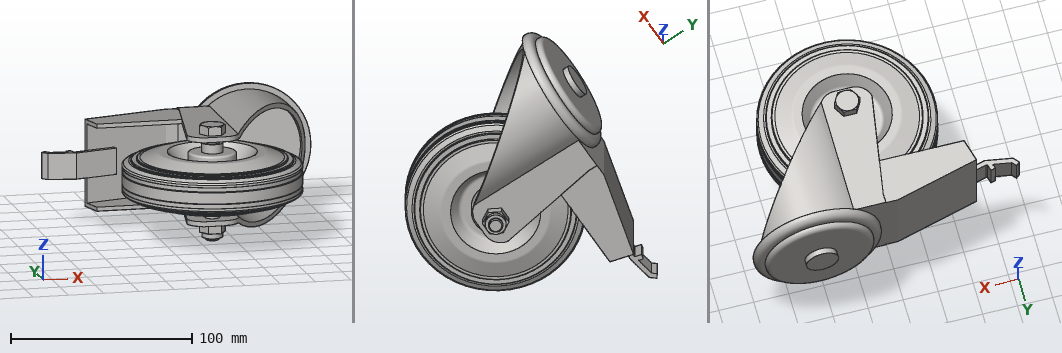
import cadquery as cq
import math


overall_length = 156.5
overall_height = 128.0

wheel_radius = 100.0 / 2
groove_radius = 99.4 / 2
face_half_width = 14.9
bowl_floor_z = 7.0
hub_radius = 13.5
hub_top_z = 14.9
hub_round = 1.3
bowl_floor_radius = 18.2
bowl_corner = (20.5, 8.3)
bowl_mouth_radius = 24.9
rim_flat_radius = 29.6
rim_round_end = (30.7, 14.7)
disc_edge_radius = 39.9
upper_shoulder_radius = 42.0
upper_shoulder_z = 11.6
middle_shoulder_radius = 45.0
middle_shoulder_z = 10.6
lower_shoulder_radius = 46.2
lower_shoulder_z = 9.7
shoulder_chamfer = 0.5
tyre_cone_end = (49.1, 8.3)
crown_edge_z = 7.4
band_outer_z = 6.0
band_inner_z = 3.6
middle_crown_z = 3.1

shaft_radius = 8.0 / 2
sleeve_radius = 12.0 / 2
sleeve_half_length = 20.0
hex_corner_diameter = 14.7
hex_chamfer_height = 0.6
head_height = 5.2
nut_height = 5.3
collar_radius = 11.6 / 2
collar_height = 2.8
tip_z = -35.0
tip_chamfer = 0.6

swivel_x = 35.0
bore_radius = 61 / 2
shell_radius = 33.2
plate_inner_z = 22.4
plate_outer_z = 25.2
plate_top_y = 64.2
foot_radius = 10.0
foot_centre_x = 4.9
rear_knee_y = 58.5

flange_radius = 73.0 / 2
flange_bottom_y = 65.9
flange_top_y = 71.0
flange_round = 4.0
cap_radius = 62.0 / 2
cap_top_y = 74.7
cap_round = 2.8
stud_radius = 18.3 / 2
stud_top_y = overall_height - wheel_radius

cover_outer_z = 24.7
sheet = 2.3
cover_slope = math.radians(15)
cover_knee_x = -11.7
cover_slope_length = 50.1
cover_bottom_y = 37.9

pedal_width = 14.9
pedal_thickness = 2.8
pedal_inner_length = 25.0
pedal_middle_length = 15.8
pedal_tip_x = swivel_x + flange_radius - overall_length
pedal_overhang = 8.1
middle_slope = math.radians(-9.5)
tip_slope = math.radians(-50)
tab_height = 4.2


def step(point, angle, distance):
    """The point at a distance from another one, in a direction."""
    return point[0] + distance * math.cos(angle), point[1] + distance * math.sin(angle)


def mitre(point, angle_before, angle_after, thickness):
    """Opposite corner of a strip that bends at a point, to the left of its run."""
    half_turn = (angle_after - angle_before) / 2
    normal = (angle_before + angle_after) / 2 + math.pi / 2
    return step(point, normal, thickness / math.cos(half_turn))


def slab(outline, half_width):
    """An XY outline extruded evenly to both sides of the middle plane."""
    return outline.extrude(half_width, both=True)


def cylinder_y(radius, y_from, y_to):
    """A cylinder on the swivel axis."""
    plane = cq.Workplane("XZ", origin=(swivel_x, y_from, 0))
    return plane.circle(radius).extrude(y_from - y_to)


def make_wheel():
    half_profile = (
        cq.Workplane("XZ")
        .moveTo(sleeve_radius, 0)
        .lineTo(sleeve_radius, hub_top_z)
        .lineTo(hub_radius - hub_round, hub_top_z)
        .tangentArcPoint((hub_radius, hub_top_z - hub_round), relative=False)
        .lineTo(hub_radius, bowl_floor_z)
        .lineTo(bowl_floor_radius, bowl_floor_z)
        .tangentArcPoint(bowl_corner, relative=False)
        .lineTo(bowl_mouth_radius, face_half_width)
        .lineTo(rim_flat_radius, face_half_width)
        .tangentArcPoint(rim_round_end, relative=False)
        .lineTo(disc_edge_radius, upper_shoulder_z)
        .lineTo(upper_shoulder_radius - shoulder_chamfer, upper_shoulder_z)
        .lineTo(upper_shoulder_radius, upper_shoulder_z - shoulder_chamfer)
        .lineTo(upper_shoulder_radius, middle_shoulder_z)
        .lineTo(middle_shoulder_radius - shoulder_chamfer, middle_shoulder_z)
        .lineTo(middle_shoulder_radius, middle_shoulder_z - shoulder_chamfer)
        .lineTo(middle_shoulder_radius, lower_shoulder_z)
        .lineTo(lower_shoulder_radius, lower_shoulder_z)
        .lineTo(*tyre_cone_end)
        .lineTo(wheel_radius, crown_edge_z)
        .lineTo(wheel_radius, band_outer_z)
        .lineTo(groove_radius, band_outer_z)
        .lineTo(groove_radius, band_inner_z)
        .lineTo(wheel_radius, middle_crown_z)
        .lineTo(wheel_radius, 0)
        .close()
    )
    half = half_profile.revolve(360, (0, 0, 0), (0, 1, 0))
    return half.union(half.rotate((0, 0, 0), (1, 0, 0), 180))


def make_axle():
    head_top_z = plate_outer_z + head_height
    nut_end_z = -plate_outer_z - nut_height
    collar_end_z = nut_end_z - collar_height

    def hexagon(z_from, height):
        return cq.Workplane(origin=(0, 0, z_from)).polygon(6, hex_corner_diameter).extrude(height)

    def rod(radius, z_from, z_to):
        return cq.Workplane(origin=(0, 0, z_from)).circle(radius).extrude(z_to - z_from)

    flat_radius = hex_corner_diameter / 2 * math.cos(math.pi / 6)
    corner_cone = rod(hex_corner_diameter / 2, plate_outer_z, head_top_z)
    corner_cone = corner_cone.faces(">Z").chamfer(hex_chamfer_height, hex_corner_diameter / 2 - flat_radius)
    head = hexagon(plate_outer_z, head_height).intersect(corner_cone)

    shaft = rod(shaft_radius, tip_z, head_top_z).faces("<Z").chamfer(tip_chamfer)
    sleeve = rod(sleeve_radius, -sleeve_half_length, sleeve_half_length)
    nut = hexagon(nut_end_z, nut_height)
    collar = rod(collar_radius, collar_end_z, nut_end_z)
    return shaft.union(sleeve).union(head).union(nut).union(collar)


def make_fork_shell():
    """Two side plates that run into a half-round shell, trimmed to the side outline."""
    rear_x = -foot_centre_x - foot_radius
    lowest_y = -foot_radius
    shell_join_x = swivel_x - math.sqrt(shell_radius**2 - plate_outer_z**2)
    bore_join_x = swivel_x - math.sqrt(bore_radius**2 - plate_inner_z**2)

    def block(x_to, half_z):
        """A block below the plate tops, from the rear of the plates to a given x."""
        outline = (
            cq.Workplane("XY").moveTo(rear_x, lowest_y).lineTo(x_to, lowest_y)
            .lineTo(x_to, plate_top_y).lineTo(rear_x, plate_top_y).close()
        )
        return slab(outline, half_z)

    inside = block(bore_join_x, plate_inner_z)
    shell = cylinder_y(shell_radius, lowest_y, flange_bottom_y)
    shell = shell.cut(cylinder_y(bore_radius, lowest_y, flange_bottom_y))
    shell = shell.cut(block(shell_join_x, shell_radius)).cut(inside)
    walls = shell.union(block(bore_join_x, plate_outer_z).cut(inside))

    front_x = swivel_x + shell_radius
    run = front_x - foot_centre_x
    front_angle = math.atan2(flange_bottom_y, run) + math.asin(foot_radius / math.hypot(run, flange_bottom_y))
    front_tangent = step((foot_centre_x, 0), front_angle - math.pi / 2, foot_radius)
    front_foot_middle = step((foot_centre_x, 0), (front_angle - math.pi) / 2, foot_radius)
    rear_angle = 1.5 * math.pi - math.acos(foot_radius / rear_knee_y)
    rear_tangent = step((-foot_centre_x, 0), rear_angle, foot_radius)
    rear_foot_middle = step((-foot_centre_x, 0), (rear_angle + 1.5 * math.pi) / 2, foot_radius)

    side_outline = (
        cq.Workplane("XY")
        .moveTo(-foot_centre_x, flange_bottom_y)
        .lineTo(front_x, flange_bottom_y)
        .lineTo(*front_tangent)
        .threePointArc(front_foot_middle, (foot_centre_x, -foot_radius))
        .lineTo(-foot_centre_x, -foot_radius)
        .threePointArc(rear_foot_middle, rear_tangent)
        .lineTo(-foot_centre_x, rear_knee_y)
        .close()
    )
    axle_hole = slab(cq.Workplane("XY").circle(shaft_radius), plate_outer_z)
    return walls.intersect(slab(side_outline, shell_radius)).cut(axle_hole)


def make_bridge():
    """Level top of the fork between its plates, from their rear edges to the bore."""
    bottom_y = plate_top_y - (plate_outer_z - plate_inner_z)
    outline = (
        cq.Workplane("XY").moveTo(-foot_centre_x, bottom_y).lineTo(swivel_x, bottom_y)
        .lineTo(swivel_x, plate_top_y).lineTo(-foot_centre_x, plate_top_y).close()
    )
    return slab(outline, plate_inner_z).cut(cylinder_y(bore_radius, bottom_y, plate_top_y))


def make_swivel_head():
    flange = cylinder_y(flange_radius, flange_bottom_y, flange_top_y).faces(">Y").edges().fillet(flange_round)
    cap = cylinder_y(cap_radius, flange_top_y, cap_top_y).faces(">Y").edges().fillet(cap_round)
    stud = cylinder_y(stud_radius, cap_top_y, stud_top_y)
    return flange.union(cap).union(stud)


cover_knee = (cover_knee_x, plate_top_y)
cover_end = step(cover_knee, cover_slope + math.pi, cover_slope_length)
square_down = cover_slope - math.pi / 2


def make_brake_cover():
    joint_x = 0

    def cover_outline(end, knee, bottom_y):
        """The cover from the side; its open end is square to the sloping web."""
        drop = (end[1] - bottom_y) / math.cos(cover_slope)
        return cq.Workplane("XY").polyline(
            [end, knee, (joint_x, knee[1]), (joint_x, bottom_y), step(end, square_down, drop)]
        ).close()

    under_end = step(cover_end, square_down, sheet)
    under_knee = mitre(cover_knee, cover_slope, 0, -sheet)
    outside = slab(cover_outline(cover_end, cover_knee, cover_bottom_y), cover_outer_z)
    inside = slab(cover_outline(under_end, under_knee, cover_bottom_y), plate_inner_z)
    return outside.cut(inside)


def make_brake_pedal():
    bend = step(step(cover_end, square_down, sheet + pedal_thickness), cover_slope, -pedal_overhang)
    elbow = step(bend, middle_slope, -pedal_middle_length)
    tip = step(elbow, tip_slope, (pedal_tip_x - elbow[0]) / math.cos(tip_slope))
    inner_end = step(bend, cover_slope, pedal_inner_length)
    strip = cq.Workplane("XY").polyline([
        tip,
        elbow,
        bend,
        inner_end,
        mitre(inner_end, cover_slope, cover_slope, pedal_thickness),
        mitre(bend, middle_slope, cover_slope, pedal_thickness),
        mitre(elbow, tip_slope, middle_slope, pedal_thickness),
        mitre(tip, tip_slope, tip_slope, pedal_thickness),
    ]).close()

    square_up = cover_slope + math.pi / 2
    tab_foot = step(bend, square_up, pedal_thickness / 2)
    tab_top = step(bend, square_up, pedal_thickness + tab_height)
    tab = cq.Workplane("XY").polyline([
        tab_foot,
        tab_top,
        step(tab_top, cover_slope, -pedal_thickness),
        step(tab_foot, cover_slope, -pedal_thickness),
    ]).close()
    return slab(strip, pedal_width / 2).union(slab(tab, pedal_width / 2))


def make_fork():
    fork_frame = make_fork_shell().union(make_bridge()).union(make_swivel_head())
    return fork_frame.union(make_brake_cover()).union(make_brake_pedal())


fork = make_fork()
wheel = make_wheel()
axle = make_axle()

result = cq.Compound.makeCompound([fork.val(), wheel.val(), axle.val()])